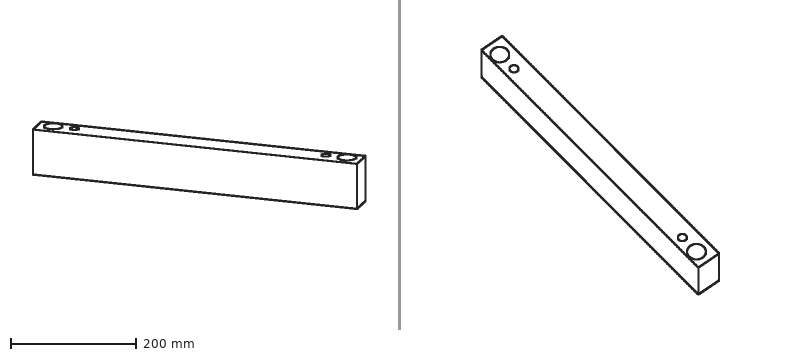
import cadquery as cq

length = 546.0
width = 43.0
height = 76.0

large_hole_diameter = 30.0
large_hole_spacing = 494.5
small_hole_diameter = 14.0
small_hole_spacing = 423.5
hole_line_offset = 4.5


def drill_pair(body, spacing, diameter):
    """Drill two through holes symmetric about the middle of the bar."""
    centres = [(side * spacing / 2, hole_line_offset) for side in (-1, 1)]
    return body.faces(">Z").workplane(origin=(0, 0, height)).pushPoints(centres).hole(diameter)


bar = cq.Workplane("XY").box(length, width, height, centered=(True, True, False))
bar = drill_pair(bar, large_hole_spacing, large_hole_diameter)
result = drill_pair(bar, small_hole_spacing, small_hole_diameter)